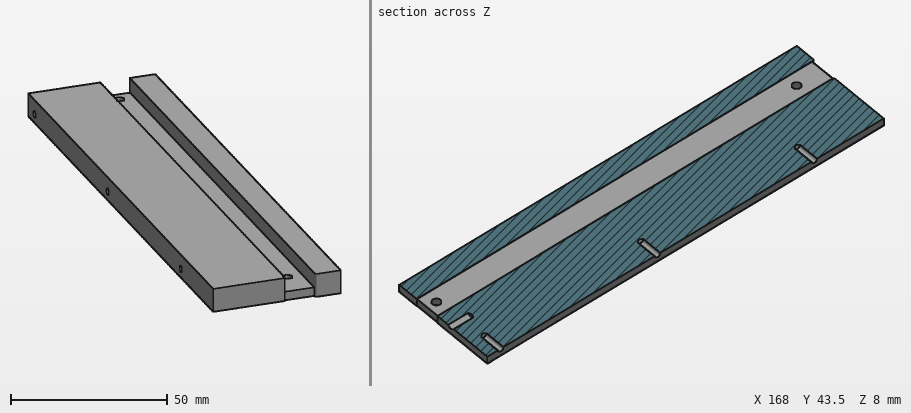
import cadquery as cq
import math

length = 168.0
width = 43.5
height = 8.0
back_rail_width = 8.7
groove_width = 10.0
front_rail_width = width - back_rail_width - groove_width
web_thickness = 3.0

front_rail_end = 167.5
web_start = 0.2
web_end = 167.0
front_rail_corner_radius = 0.5
back_rail_corner_radius = 0.7

web_hole_diameter = 3.2
web_hole_y = front_rail_width + groove_width / 2
web_hole_first_x = 4.0
web_hole_spacing = 152.0

drill_point_angle = 118.0

front_hole_diameter = 2.2
front_hole_depth = 8.4
front_hole_count = 3
front_hole_first_x = 5.7
front_hole_spacing = 66.2
front_hole_z = 3.0

end_hole_diameter = 3.2
end_hole_depth = 8.4
end_hole_y = 18.0
end_hole_z = height / 2


def block(x_range, y_range, top):
    """Rectangular block standing on the bottom plane."""
    x_start, x_end = x_range
    y_start, y_end = y_range
    size = (x_end - x_start, y_end - y_start, top)
    return cq.Workplane("XY").box(*size, centered=False).translate((x_start, y_start, 0))


def drilled_hole(diameter, depth):
    """Blind hole with a conical tip, running up +Z from the origin."""
    radius = diameter / 2
    tip_length = radius / math.tan(math.radians(drill_point_angle / 2))
    profile = [(0, 0), (radius, 0), (radius, depth), (0, depth + tip_length)]
    return cq.Workplane("XZ").polyline(profile).close().revolve(360, (0, 0), (0, 1))


groove_back_y = front_rail_width + groove_width
front_rail = block((0, front_rail_end), (0, front_rail_width), height)
front_rail = front_rail.edges("|Z and >X and >Y").fillet(front_rail_corner_radius)
back_rail = block((0, length), (groove_back_y, width), height)
back_rail = back_rail.edges("|Z and >X and <Y").fillet(back_rail_corner_radius)

web = block((web_start, web_end), (front_rail_width, groove_back_y), web_thickness)

result = front_rail.union(web).union(back_rail)

web_hole_positions = [
    (web_hole_first_x, web_hole_y),
    (web_hole_first_x + web_hole_spacing, web_hole_y),
]
web_holes = (
    cq.Workplane("XY")
    .pushPoints(web_hole_positions)
    .circle(web_hole_diameter / 2)
    .extrude(web_thickness)
)
result = result.cut(web_holes)

front_hole = drilled_hole(front_hole_diameter, front_hole_depth).rotate((0, 0, 0), (1, 0, 0), -90)
for index in range(front_hole_count):
    hole_x = front_hole_first_x + index * front_hole_spacing
    result = result.cut(front_hole.translate((hole_x, 0, front_hole_z)))

end_hole = drilled_hole(end_hole_diameter, end_hole_depth).rotate((0, 0, 0), (0, 1, 0), 90)
result = result.cut(end_hole.translate((0, end_hole_y, end_hole_z)))